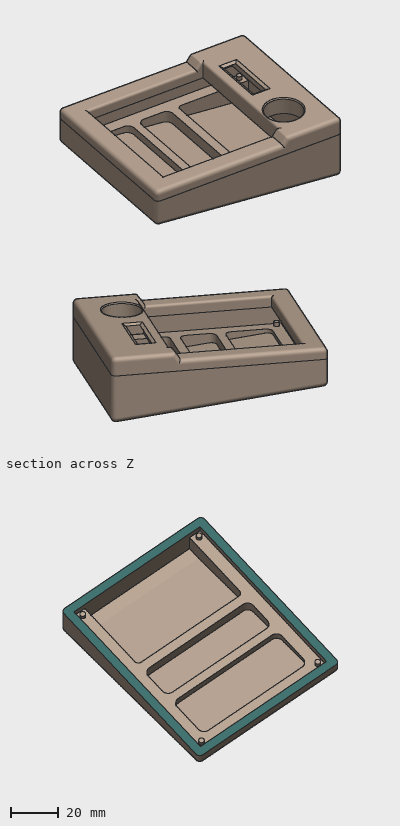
import cadquery as cq
import math


width = 75.2
length = 92.7
height = 28.81
edge_radius = 2.0
half_width = width / 2
half_length = length / 2

selection_margin = 0.1

slope_angle = 5.5
slope = math.tan(math.radians(slope_angle))
slope_at_arc_centre = edge_radius - edge_radius / math.cos(math.radians(slope_angle))
back_underside_z = slope_at_arc_centre - slope * edge_radius

joint_z = 21.0
low_deck_z = 25.8
step_top_y = 19.2
step_foot_y = 16.9
step_round = 0.8

window_side = 57.1
window_y = -8.55
window_round = 1.2

knob_x = 19.05
knob_y = 29.25
knob_diameter = 17.0
knob_chamfer = 0.5

display_x = -9.9
display_y = 28.6
display_length = 22.8
display_width = 6.0
display_bevel_width = 1.4
display_bevel_depth = 0.8
display_bevel_angle = math.degrees(math.atan(display_bevel_width / display_bevel_depth))
recess_length = 38.5
recess_width = 13.0

wall = 4.0
deck_z = 11.6
floor_thickness = 2.2
flat_floor_y = 36.2
pocket_length = 56.0
pocket_radius = 3.0
back_pocket_radius = 2.0
back_pocket_front_y = 6.9
front_pockets = [(-12.8, 2.65), (-36.9, -16.75)]

pin_diameter = 2.4
pin_height = 1.8
pin_inset = 2.5

inner_half_width = half_width - wall
inner_back_y = half_length - wall


def underside_z(y):
    """Height of the sloped underside at a given y."""
    return back_underside_z + slope * (half_length - y)


def floor_z(y):
    """Height of the sloped pocket floor at a given y."""
    return underside_z(y) + floor_thickness


def box(x_min, x_max, y_min, y_max, z_min, z_max):
    return cq.Workplane("XY").box(
        x_max - x_min, y_max - y_min, z_max - z_min, centered=False
    ).translate((x_min, y_min, z_min))


def side_extrusion(points, full_width):
    """Extrude a (y, z) outline along X, centred on x = 0."""
    return cq.Workplane("YZ").polyline(points).close().extrude(full_width / 2, both=True)


def make_lid():
    body = side_extrusion(
        [
            (-half_length, joint_z),
            (half_length, joint_z),
            (half_length, height),
            (step_top_y, height),
            (step_foot_y, low_deck_z),
            (-half_length, low_deck_z),
        ],
        width,
    )
    step_middle = (0, step_top_y, height)
    body = body.edges(cq.selectors.NearestToPointSelector(step_middle)).fillet(step_round)
    body = body.edges("|Z").fillet(edge_radius)
    body = round_lid_rim(body)
    body = cut_window(body)
    body = cut_knob_hole(body)
    return cut_display_opening(body)


def round_lid_rim(body):
    """Round the whole upper outer rim, including where it runs down the step."""
    above_joint = cq.selectors.BoxSelector(
        (-width, -length, joint_z + selection_margin),
        (width, length, height + selection_margin),
    )
    return body.faces("<X or >X").edges("not(|Z)").edges(above_joint).fillet(edge_radius)


def cut_window(body):
    half = window_side / 2
    opening = box(-half, half, window_y - half, window_y + half, joint_z, height)
    body = body.cut(opening)
    rim = cq.selectors.BoxSelector(
        (-half - selection_margin, window_y - half - selection_margin, low_deck_z - selection_margin),
        (half + selection_margin, window_y + half + selection_margin, height + selection_margin),
    )
    return body.edges(rim).edges("not(|Z)").fillet(window_round)


def cut_knob_hole(body):
    radius = knob_diameter / 2
    hole = cq.Workplane("XY").center(knob_x, knob_y).circle(radius).extrude(height)
    countersink = (
        cq.Workplane("XY", origin=(knob_x, knob_y, height))
        .circle(radius + knob_chamfer)
        .extrude(-knob_chamfer, taper=45)
    )
    return body.cut(hole).cut(countersink)


def cut_display_opening(body):
    """Cut a bevelled opening whose bevel ends on the ceiling of the recess."""
    opening = (
        cq.Workplane("XY", origin=(display_x, display_y, height))
        .rect(display_length + 2 * display_bevel_width, display_width + 2 * display_bevel_width)
        .extrude(-display_bevel_depth, taper=display_bevel_angle)
    )
    recess = box(
        display_x - recess_length / 2,
        display_x + recess_length / 2,
        display_y - recess_width / 2,
        display_y + recess_width / 2,
        joint_z,
        height - display_bevel_depth,
    )
    return body.cut(opening).cut(recess)


def make_base():
    body = side_extrusion(
        [
            (-half_length, joint_z),
            (-half_length, underside_z(-half_length)),
            (half_length, underside_z(half_length)),
            (half_length, joint_z),
        ],
        width,
    )
    body = body.edges("|Z").fillet(edge_radius)
    body = body.faces("<Z").edges().fillet(edge_radius)
    cavity = box(
        -inner_half_width, inner_half_width, -inner_back_y, inner_back_y, deck_z, joint_z
    )
    body = body.cut(cavity)
    for front_y, back_y in front_pockets:
        body = body.cut(front_pocket(front_y, back_y))
    body = body.cut(back_pocket())
    return add_pins(body)


def above_floor():
    """Space above the pocket floors: sloped, then flat towards the back."""
    return side_extrusion(
        [
            (-half_length, floor_z(-half_length)),
            (flat_floor_y, floor_z(flat_floor_y)),
            (half_length, floor_z(flat_floor_y)),
            (half_length, joint_z),
            (-half_length, joint_z),
        ],
        width,
    )


def front_pocket(front_y, back_y):
    half = pocket_length / 2
    block = box(-half, half, front_y, back_y, 0, deck_z)
    return block.edges("|Z").fillet(pocket_radius).intersect(above_floor())


def back_pocket():
    """Pocket that runs back to the inner face of the rear wall."""
    half = pocket_length / 2
    block = box(-half, half, back_pocket_front_y, inner_back_y, 0, deck_z)
    block = block.faces("<Y").edges("|Z").fillet(back_pocket_radius)
    return block.intersect(above_floor())


def add_pins(body):
    """Stand one pin in each corner of the deck."""
    pin_x = inner_half_width - pin_inset
    pin_y = inner_back_y - pin_inset
    for x in (-pin_x, pin_x):
        for y in (-pin_y, pin_y):
            pin = (
                cq.Workplane("XY", origin=(x, y, deck_z))
                .circle(pin_diameter / 2)
                .extrude(pin_height)
            )
            body = body.union(pin)
    return body


base = make_base()
lid = make_lid()

result = cq.Compound.makeCompound([base.val(), lid.val()])